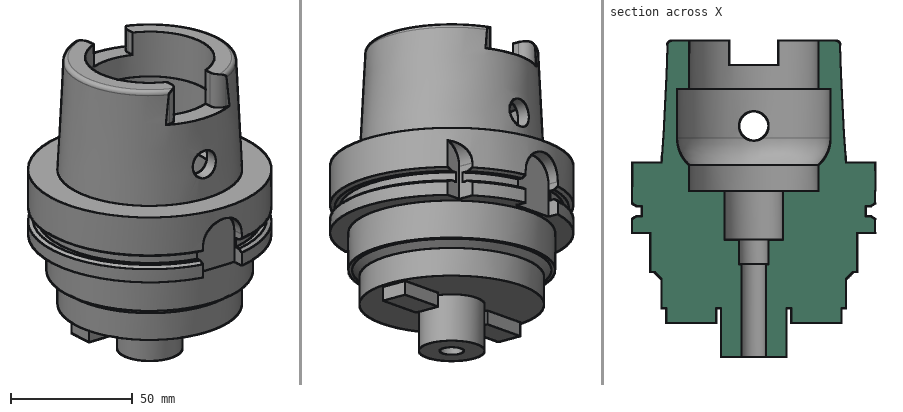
import cadquery as cq
import math

total_height = 130.0

pilot_radius = 13.5
lower_body_bottom = 20.0
lower_body_top = 32.0
lower_body_radius = 38.0
middle_body_bottom = 35.0
middle_body_radius = 42.5
key_width = 12.0
key_inner = 15.3
key_outer = 36.0
key_height = 6.0

flange_bottom = 51.0
flange_top = 80.0
flange_diameter = total_height * 10 / 13
flange_radius = flange_diameter / 2
groove_center = flange_top - 20.0
groove_floor_width = 4.0
groove_floor_radius = 46.0
groove_lip_radius = 48.1
groove_lip_angle = 30.0

taper_base_radius = 38.0
taper_slope = 1 / 20
taper_top_radius = taper_base_radius - (total_height - flange_top) * taper_slope
taper_top_fillet = 2.0

bore_radius = 26.5
bore_depth = 61.8
mouth_depth = 20.0
chamber_radius = 31.5
chamber_wall_depth = 40.0
chamber_fillet = 15.0
tube_hole_radius = 12.0
tube_hole_depth = 20.0
through_radius = 5.0
through_mouth_radius = 6.0
through_mouth_depth = 10.0
cross_hole_radius = 6.0
cross_hole_height = 94.9

slot_width = 20.0
slot_half = slot_width / 2
shallow_slot_depth = 10.0
deep_slot_depth = 15.0
lug_corner_radius = 4.5
lug_end = 32.2
flange_slot_top = 75.0
flange_slot_floor = 44.0
notch_offset = 31.6


def solid_of_revolution(profile):
    """Revolve a closed (radius, z) profile about the Z axis."""
    return profile.close().revolve(360, (0, 0, 0), (0, 1, 0))


def outer_body():
    """Pilot, lower body and grooved flange."""
    lower_chamfer = middle_body_bottom - lower_body_top
    lip_height = (flange_radius - groove_lip_radius) * math.tan(math.radians(groove_lip_angle))
    groove_low = groove_center - groove_floor_width / 2
    groove_high = groove_center + groove_floor_width / 2
    return solid_of_revolution(
        cq.Workplane("XZ")
        .moveTo(0, 0)
        .lineTo(pilot_radius, 0)
        .lineTo(pilot_radius, lower_body_bottom)
        .lineTo(lower_body_radius, lower_body_bottom)
        .lineTo(lower_body_radius, lower_body_top)
        .lineTo(lower_body_radius + lower_chamfer, middle_body_bottom)
        .lineTo(middle_body_radius, middle_body_bottom)
        .lineTo(middle_body_radius, flange_bottom)
        .lineTo(flange_radius, flange_bottom)
        .lineTo(flange_radius, groove_low - lip_height)
        .lineTo(groove_lip_radius, groove_low)
        .lineTo(groove_floor_radius, groove_low)
        .lineTo(groove_floor_radius, groove_high)
        .lineTo(groove_lip_radius, groove_high)
        .lineTo(flange_radius, groove_high + lip_height)
        .lineTo(flange_radius, flange_top)
        .lineTo(0, flange_top)
    )


def taper():
    """Solid tapered shank with a rounded top edge."""
    shank = solid_of_revolution(
        cq.Workplane("XZ")
        .moveTo(0, flange_top)
        .lineTo(taper_base_radius, flange_top)
        .lineTo(taper_top_radius, total_height)
        .lineTo(0, total_height)
    )
    return shank.faces(">Z").edges().fillet(taper_top_fillet)


def drive_slot(side, depth):
    """Slot through the shank wall on one X side, with rounded lug corners and flat lug ends."""
    arc_start_x = lug_end - lug_corner_radius
    arc_end_y = slot_half + lug_corner_radius
    plan = (
        cq.Workplane("XY", origin=(0, 0, total_height))
        .moveTo(0, -slot_half)
        .lineTo(arc_start_x, -slot_half)
        .radiusArc((lug_end, -arc_end_y), lug_corner_radius)
        .lineTo(lug_end, -taper_base_radius)
        .lineTo(taper_base_radius, -taper_base_radius)
        .lineTo(taper_base_radius, taper_base_radius)
        .lineTo(lug_end, taper_base_radius)
        .lineTo(lug_end, arc_end_y)
        .radiusArc((arc_start_x, slot_half), lug_corner_radius)
        .lineTo(0, slot_half)
        .close()
    )
    slot = plan.extrude(-depth)
    return slot if side > 0 else slot.mirror("YZ")


def bore():
    """Bore of the shank: mouth, wider chamber, lower bore, tube hole and through hole."""
    mouth_floor = total_height - mouth_depth
    fillet_top = total_height - chamber_wall_depth
    fillet_center_radius = chamber_radius - chamber_fillet
    fillet_drop = math.sqrt(chamber_fillet**2 - (bore_radius - fillet_center_radius) ** 2)
    bore_floor = total_height - bore_depth
    tube_floor = bore_floor - tube_hole_depth
    through_top = tube_floor - through_mouth_depth
    return solid_of_revolution(
        cq.Workplane("XZ")
        .moveTo(0, 0)
        .lineTo(through_radius, 0)
        .lineTo(through_radius, through_top)
        .lineTo(through_mouth_radius, through_top)
        .lineTo(through_mouth_radius, tube_floor)
        .lineTo(tube_hole_radius, tube_floor)
        .lineTo(tube_hole_radius, bore_floor)
        .lineTo(bore_radius, bore_floor)
        .lineTo(bore_radius, fillet_top - fillet_drop)
        .radiusArc((chamber_radius, fillet_top), -chamber_fillet)
        .lineTo(chamber_radius, mouth_floor)
        .lineTo(bore_radius, mouth_floor)
        .lineTo(bore_radius, total_height)
        .lineTo(0, total_height)
    )


def cross_hole():
    """Round hole through both walls of the shank along X."""
    return (
        cq.Workplane("YZ", origin=(0, 0, cross_hole_height))
        .circle(cross_hole_radius)
        .extrude(flange_radius, both=True)
    )


def arched_slot(floor_x, center_y):
    """Round-topped slot milled along X into the flange, from a flat floor outwards."""
    length = math.copysign(flange_radius, floor_x)
    spring = flange_slot_top - slot_half
    return (
        cq.Workplane("YZ", origin=(floor_x, center_y, 0))
        .moveTo(-slot_half, flange_bottom)
        .lineTo(slot_half, flange_bottom)
        .lineTo(slot_half, spring)
        .threePointArc((0, flange_slot_top), (-slot_half, spring))
        .close()
        .extrude(length)
    )


def driving_key(side):
    """Key under the lower body, on one Y side of the pilot."""
    length = key_outer - key_inner
    center_y = side * (key_outer + key_inner) / 2
    return (
        cq.Workplane("XY", origin=(0, center_y, lower_body_bottom))
        .rect(key_width, length)
        .extrude(-key_height)
    )


shank = taper().cut(drive_slot(-1, shallow_slot_depth)).cut(drive_slot(1, deep_slot_depth))
result = outer_body().union(shank).cut(bore()).cut(cross_hole())

for side in (-1, 1):
    result = result.cut(arched_slot(side * flange_slot_floor, 0))
    result = result.union(driving_key(side))

result = result.cut(arched_slot(-notch_offset, notch_offset + slot_half))